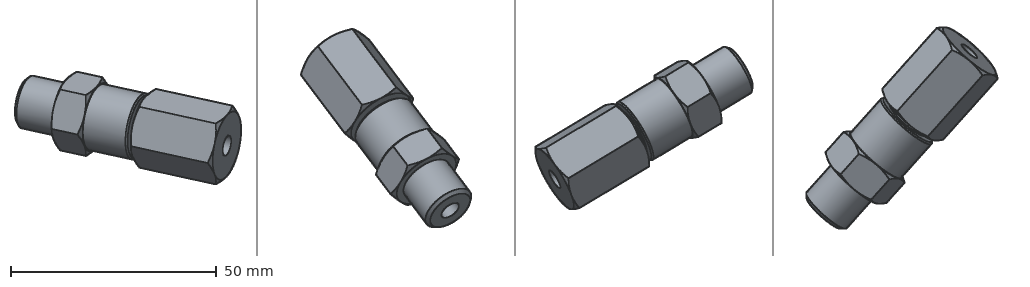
import cadquery as cq
import math

bore_diameter = 5.0

across_flats = 17.0
across_corners = across_flats / math.cos(math.radians(30))
hex_chamfer_angle = 30.0

spigot_diameter = 13.16
spigot_tip_diameter = 11.45
spigot_length = 11.0
plug_hex_length = 8.3
sleeve_diameter = 16.5
sleeve_length = 11.7
sleeve_chamfer = 0.4

neck_diameter = 11.55
neck_length = 1.1
total_length = 54.0

plug_hex_start = spigot_length
sleeve_start = plug_hex_start + plug_hex_length
neck_start = sleeve_start + sleeve_length
socket_hex_start = neck_start + neck_length
socket_hex_length = total_length - socket_hex_start


def cylinder(start, length, diameter):
    """Round bar along X, beginning at the given station."""
    return cq.Workplane("YZ", origin=(start, 0, 0)).circle(diameter / 2).extrude(length)


def chamfered_hexagon(start, length):
    """Hexagonal bar along X whose corners are turned down by a cone at both ends."""
    end = start + length
    face_radius = across_flats / 2
    corner_radius = across_corners / 2
    cone_depth = (corner_radius - face_radius) * math.tan(math.radians(hex_chamfer_angle))
    hexagon = cq.Workplane("YZ", origin=(start, 0, 0)).polygon(6, across_corners).extrude(length)
    envelope = (
        cq.Workplane("XY")
        .moveTo(start, 0)
        .lineTo(start, face_radius)
        .lineTo(start + cone_depth, corner_radius)
        .lineTo(end - cone_depth, corner_radius)
        .lineTo(end, face_radius)
        .lineTo(end, 0)
        .close()
        .revolve(360, (0, 0, 0), (1, 0, 0))
    )
    return hexagon.intersect(envelope)


def bored(body):
    """Cut the through bore, which runs the whole length of the fitting."""
    return body.cut(cylinder(0, total_length, bore_diameter))


def make_plug():
    spigot_chamfer = (spigot_diameter - spigot_tip_diameter) / 2
    spigot = cylinder(0, spigot_length, spigot_diameter).faces("<X").chamfer(spigot_chamfer)
    sleeve = cylinder(sleeve_start, sleeve_length, sleeve_diameter).faces(">X").chamfer(sleeve_chamfer)
    hexagon = chamfered_hexagon(plug_hex_start, plug_hex_length)
    return bored(hexagon.union(spigot).union(sleeve))


def make_socket():
    neck = cylinder(neck_start, neck_length, neck_diameter)
    hexagon = chamfered_hexagon(socket_hex_start, socket_hex_length)
    return bored(hexagon.union(neck))


plug = make_plug()
socket = make_socket()

result = cq.Compound.makeCompound([plug.val(), socket.val()])